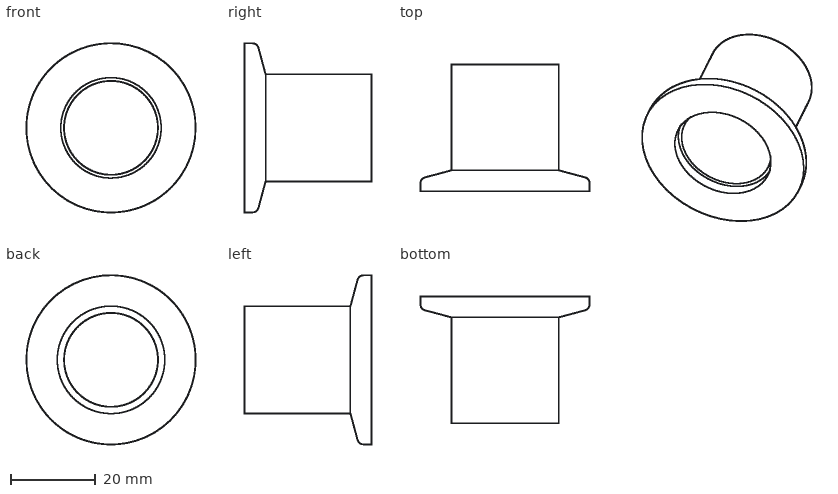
import cadquery as cq
import math

length = 30.0
flange_diameter = 40.0
tube_diameter = 25.4
bore_diameter = 22.1
recess_diameter = 23.7
recess_depth = 2.8

flange_thickness = 5.0
cone_angle = 15.0
rim_fillet = 1.5

flange_radius = flange_diameter / 2
tube_radius = tube_diameter / 2
cone_drop = (flange_radius - tube_radius) * math.tan(math.radians(cone_angle))
rim_height = flange_thickness - cone_drop


def turned_body():
    """Solid tube and flange, before boring."""
    profile = (
        cq.Workplane("XY")
        .lineTo(flange_radius, 0)
        .lineTo(flange_radius, rim_height)
        .lineTo(tube_radius, flange_thickness)
        .lineTo(tube_radius, length)
        .lineTo(0, length)
        .close()
    )
    return profile.revolve(360, (0, 0, 0), (0, 1, 0))


def round_rim(body):
    """Round the edge where the cone meets the outer rim."""
    rim_center = (0, rim_height, 0)
    return body.edges("%CIRCLE").edges(cq.NearestToPointSelector(rim_center)).fillet(rim_fillet)


def bore(diameter, depth):
    """Cylinder running from the sealing face into the part."""
    return cq.Workplane("XZ").circle(diameter / 2).extrude(-depth)


result = (
    round_rim(turned_body())
    .cut(bore(bore_diameter, length))
    .cut(bore(recess_diameter, recess_depth))
)